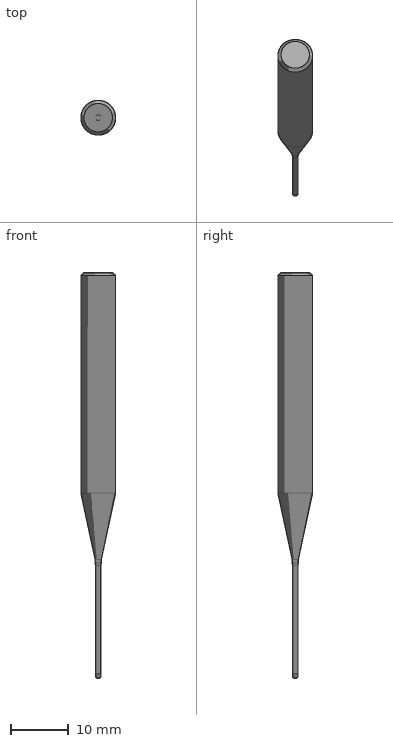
import cadquery as cq

total_length = 70.0
cutter_top = 0.8
neck_top = 19.5
flare_top = 19.95
collar_top = 20.6
taper_top = 32.0

shank_radius = 3.0
collar_radius = 0.55
cutter_radius = 0.5
neck_radius = 0.475

chamfer_height = 0.5
chamfer_width = 0.55


def make_cutter():
    """Ball-nosed cutting tip with a short cylindrical land."""
    quarter = cutter_radius * 0.5 ** 0.5
    profile = (
        cq.Workplane("XZ")
        .moveTo(0, 0)
        .threePointArc((quarter, cutter_radius - quarter), (cutter_radius, cutter_radius))
        .lineTo(cutter_radius, cutter_top)
        .lineTo(0, cutter_top)
        .close()
    )
    return profile.revolve(360, (0, 0, 0), (0, 1, 0))


def make_holder():
    """Slender neck that flares to a collar, then tapers out to the chamfered shank."""
    outline = [
        (0, cutter_top),
        (neck_radius, cutter_top),
        (neck_radius, neck_top),
        (collar_radius, flare_top),
        (collar_radius, collar_top),
        (shank_radius, taper_top),
        (shank_radius, total_length - chamfer_height),
        (shank_radius - chamfer_width, total_length),
        (0, total_length),
    ]
    profile = cq.Workplane("XZ").polyline(outline).close()
    return profile.revolve(360, (0, 0, 0), (0, 1, 0))


cutter = make_cutter()
holder = make_holder()

result = cq.Compound.makeCompound([cutter.val(), holder.val()])